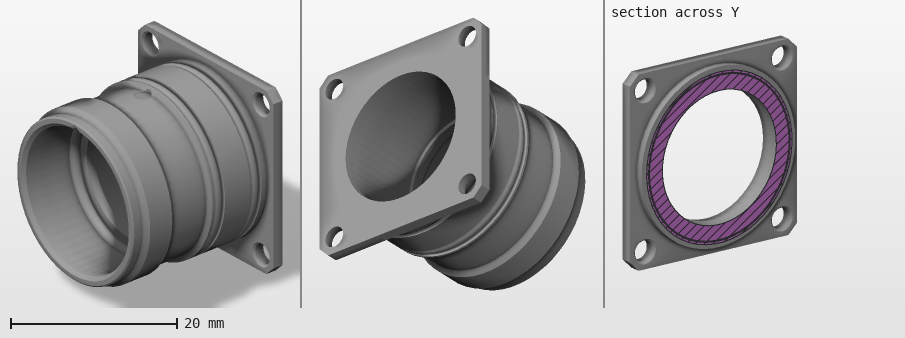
import cadquery as cq

flange_side = 25.0
flange_thickness = 1.5
flange_corner_chamfer = 1.3
hole_offset = 10.25
hole_diameter = 2.7
hole_chamfer = 0.25
countersink_angle = 90

total_length = 22.3
seat_radius = 11.5
sleeve_radius = 10.8
seal_groove_radius = 10.5
seal_groove_width = 1.7
seal_groove_starts = (2.5, 8.3)
seal_section_radius = 0.75
seat_lip_width = 0.3
seat_cone_length = 0.4
collar_radius = 11.4
collar_start = 15.9
collar_end = 20.8
collar_bevel_length = 0.7
mouth_edge_chamfer = 0.2

bore_radius = 8.0
mouth_bore_radius = 9.55
mouth_bevel_radius = 10.0
mouth_bevel_length = 0.5
shoulder_depth = 13.5
inner_lip_length = 1.25
rear_bore_radius = 8.5
inner_seal_section_radius = 0.75
inner_seal_outer_radius = 10.25
inner_seal_embedding = 0.02

key_end_depth = 14.7
key_half_width = 0.94
key_side_height = 9.95
key_ridge_height = 10.55
pocket_diameter = 2.1
pocket_depth = 11.45
pocket_floor_height = 10.7

seat_end = seal_groove_starts[-1] + seal_groove_width + seat_lip_width
inner_seal_depth = shoulder_depth + inner_seal_section_radius - inner_seal_embedding


def revolve_about_y(profile):
    """Turn a profile in the YZ plane a full turn about the Y axis."""
    return profile.revolve(360, (0, 0, 0), (1, 0, 0))


def revolve_points(points):
    """Turn a closed outline of (radius, depth) points about the Y axis."""
    outline = [(-depth, radius) for radius, depth in points]
    return revolve_about_y(cq.Workplane("YZ").polyline(outline).close())


def make_seal(outer_radius, section_radius, depth):
    """Round-section ring about the Y axis; its section is centred at the given depth."""
    center_radius = outer_radius - section_radius
    section = cq.Workplane("YZ", origin=(0, -depth, center_radius)).circle(section_radius)
    return section.revolve(360, (0, -center_radius, 0), (1, -center_radius, 0))


def make_flange():
    plate = cq.Workplane("XZ").rect(flange_side, flange_side).extrude(flange_thickness)
    plate = plate.edges("|Y").chamfer(flange_corner_chamfer)
    spacing = 2 * hole_offset
    return (
        plate.faces("<Y").workplane(origin=(0, -flange_thickness, 0))
        .rect(spacing, spacing, forConstruction=True)
        .vertices()
        .cskHole(hole_diameter, hole_diameter + 2 * hole_chamfer, countersink_angle)
    )


def make_outer_body():
    points = [(0, 0), (seat_radius, 0)]
    for start in seal_groove_starts:
        end = start + seal_groove_width
        points += [
            (seat_radius, start),
            (seal_groove_radius, start),
            (seal_groove_radius, end),
            (seat_radius, end),
        ]
    points += [
        (seat_radius, seat_end),
        (sleeve_radius, seat_end + seat_cone_length),
        (sleeve_radius, collar_start),
        (collar_radius, collar_start + collar_bevel_length),
        (collar_radius, collar_end - collar_bevel_length),
        (sleeve_radius, collar_end),
        (sleeve_radius, total_length - mouth_edge_chamfer),
        (sleeve_radius - mouth_edge_chamfer, total_length),
        (0, total_length),
    ]
    return revolve_points(points)


def make_cavity():
    lip_rear = shoulder_depth - inner_lip_length
    return revolve_points([
        (0, 0),
        (rear_bore_radius, 0),
        (rear_bore_radius, lip_rear),
        (bore_radius, lip_rear),
        (bore_radius, shoulder_depth),
        (mouth_bore_radius, shoulder_depth),
        (mouth_bore_radius, total_length - mouth_bevel_length),
        (mouth_bevel_radius, total_length),
        (0, total_length),
    ])


def make_key_slot():
    """Slot with a roof-shaped top, from the front of the inner seal to the mouth."""
    return (
        cq.Workplane("XZ", origin=(0, -key_end_depth, 0))
        .moveTo(-key_half_width, bore_radius)
        .lineTo(-key_half_width, key_side_height)
        .lineTo(0, key_ridge_height)
        .lineTo(key_half_width, key_side_height)
        .lineTo(key_half_width, bore_radius)
        .close()
        .extrude(total_length - key_end_depth)
    )


def make_pocket():
    return (
        cq.Workplane("XY", origin=(0, -pocket_depth, pocket_floor_height))
        .circle(pocket_diameter / 2)
        .extrude(seat_radius - pocket_floor_height)
    )


def add_seals(sleeve):
    for start in seal_groove_starts:
        depth = start + seal_groove_width / 2
        sleeve = sleeve.union(make_seal(seat_radius, seal_section_radius, depth))
    return sleeve.union(make_seal(inner_seal_outer_radius, inner_seal_section_radius, inner_seal_depth))


body = make_flange().union(make_outer_body())
body = body.cut(make_cavity()).cut(make_key_slot()).cut(make_pocket())
result = add_seals(body)